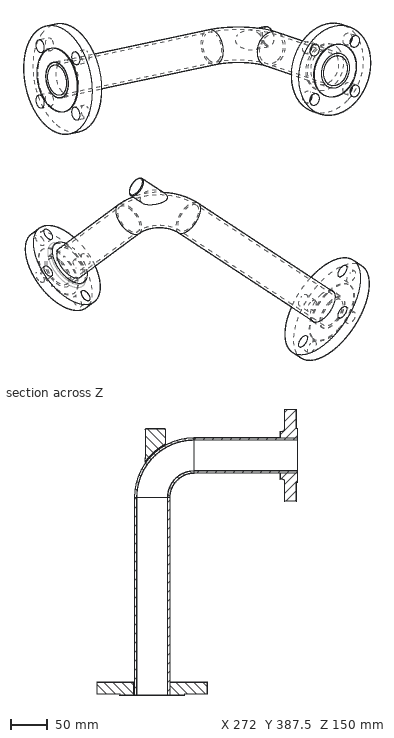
import cadquery as cq
import math

PIPE_OD = 48.5
PIPE_BORE = 41.5
BEND_RADIUS = 57.0

INLET_DIA = 150.0
INLET_THICKNESS = 16.3
INLET_FACE_DIA = 88.0
INLET_FACE_HEIGHT = 1.5
INLET_BOLT_CIRCLE = 110.0
INLET_BOLT_HOLE = 18.0
INLET_CLEARANCE = 0.6

OUTLET_DIA = 124.8
OUTLET_THICKNESS = 16.3
OUTLET_FACE_DIA = 73.2
OUTLET_FACE_HEIGHT = 1.5
OUTLET_BOLT_CIRCLE = 98.5
OUTLET_BOLT_HOLE = 16.3
HUB_DIA = 65.0
HUB_HEIGHT = 6.0
HUB_FILLET = 3.0

BOLT_COUNT = 4

NOZZLE_DIA = 28.0
NOZZLE_OFFSET = 4.3
NOZZLE_END_Y = 361.5
NOZZLE_CHAMFER = 1.0
NOZZLE_GAP = 0.8

LENGTH_X = 272.0
LENGTH_Y = 387.5
OUTLET_FACE_X = LENGTH_X - INLET_DIA / 2
OUTLET_AXIS_Y = LENGTH_Y - OUTLET_DIA / 2
ELBOW_START_Y = OUTLET_AXIS_Y - BEND_RADIUS

INLET_PLANE = cq.Plane(origin=(0, 0, 0), xDir=(1, 0, 0), normal=(0, 1, 0))
OUTLET_PLANE = cq.Plane(origin=(OUTLET_FACE_X, OUTLET_AXIS_Y, 0), xDir=(0, 1, 0), normal=(-1, 0, 0))


def make_pipe(plane, length):
    """Straight pipe starting on a sealing face."""
    return cq.Workplane(plane).circle(PIPE_OD / 2).circle(PIPE_BORE / 2).extrude(length)


def make_bend(diameter):
    """Solid quarter bend joining the two pipe axes."""
    return (
        cq.Workplane("XZ", origin=(0, ELBOW_START_Y, 0))
        .circle(diameter / 2)
        .revolve(90, (BEND_RADIUS, 0), (BEND_RADIUS, -1))
    )


def make_elbow():
    return make_bend(PIPE_OD).cut(make_bend(PIPE_BORE))


def make_flange_disc(plane, diameter, thickness, face_diameter, face_height, bolt_circle, bolt_hole):
    """Flange disc with a raised sealing face and bolt holes straddling the centre lines."""
    raised_face = cq.Workplane(plane).circle(face_diameter / 2).extrude(face_height)
    disc = cq.Workplane(plane).workplane(offset=face_height).circle(diameter / 2).extrude(thickness)
    bolt_holes = (
        cq.Workplane(plane)
        .polarArray(bolt_circle / 2, 180 / BOLT_COUNT, 360, BOLT_COUNT)
        .circle(bolt_hole / 2)
        .extrude(face_height + thickness)
    )
    return disc.union(raised_face).cut(bolt_holes)


def make_inlet_flange():
    flange = make_flange_disc(
        INLET_PLANE, INLET_DIA, INLET_THICKNESS, INLET_FACE_DIA, INLET_FACE_HEIGHT,
        INLET_BOLT_CIRCLE, INLET_BOLT_HOLE,
    )
    bore_radius = PIPE_OD / 2 + INLET_CLEARANCE
    bore = cq.Workplane(INLET_PLANE).circle(bore_radius).extrude(INLET_FACE_HEIGHT + INLET_THICKNESS)
    return flange.cut(bore)


def make_outlet_hub():
    """Hub with a concave fillet at its root, revolved about the outlet pipe axis."""
    back_face = OUTLET_FACE_HEIGHT + OUTLET_THICKNESS
    radius = HUB_DIA / 2
    fillet_inset = HUB_FILLET * (1 - math.sqrt(0.5))
    profile = (
        cq.Workplane("XY", origin=(OUTLET_FACE_X - back_face, OUTLET_AXIS_Y, 0))
        .lineTo(0, radius + HUB_FILLET)
        .threePointArc((-fillet_inset, radius + fillet_inset), (-HUB_FILLET, radius))
        .lineTo(-HUB_HEIGHT, radius)
        .lineTo(-HUB_HEIGHT, 0)
        .close()
    )
    return profile.revolve(360, (0, 0), (1, 0))


def make_outlet_flange():
    flange = make_flange_disc(
        OUTLET_PLANE, OUTLET_DIA, OUTLET_THICKNESS, OUTLET_FACE_DIA, OUTLET_FACE_HEIGHT,
        OUTLET_BOLT_CIRCLE, OUTLET_BOLT_HOLE,
    )
    depth = OUTLET_FACE_HEIGHT + OUTLET_THICKNESS + HUB_HEIGHT
    bore = cq.Workplane(OUTLET_PLANE).circle(PIPE_OD / 2).extrude(depth)
    return flange.union(make_outlet_hub()).cut(bore)


def make_nozzle():
    """Solid round stub, its end coped to the outermost arc of the elbow."""
    length = NOZZLE_END_Y - ELBOW_START_Y
    stub = (
        cq.Workplane("XZ", origin=(NOZZLE_OFFSET, NOZZLE_END_Y, 0))
        .circle(NOZZLE_DIA / 2)
        .extrude(length)
        .faces(">Y")
        .chamfer(NOZZLE_CHAMFER)
    )
    cope = (
        cq.Workplane("XY", origin=(BEND_RADIUS, ELBOW_START_Y, 0))
        .circle(BEND_RADIUS + PIPE_OD / 2 + NOZZLE_GAP)
        .extrude(NOZZLE_DIA, both=True)
    )
    return stub.cut(cope)


inlet_pipe = make_pipe(INLET_PLANE, ELBOW_START_Y)
elbow = make_elbow()
outlet_pipe = make_pipe(OUTLET_PLANE, OUTLET_FACE_X - BEND_RADIUS)
inlet_flange = make_inlet_flange()
outlet_flange = make_outlet_flange()
nozzle = make_nozzle()

result = cq.Compound.makeCompound([
    inlet_pipe.val(),
    elbow.val(),
    outlet_pipe.val(),
    inlet_flange.val(),
    outlet_flange.val(),
    nozzle.val(),
])